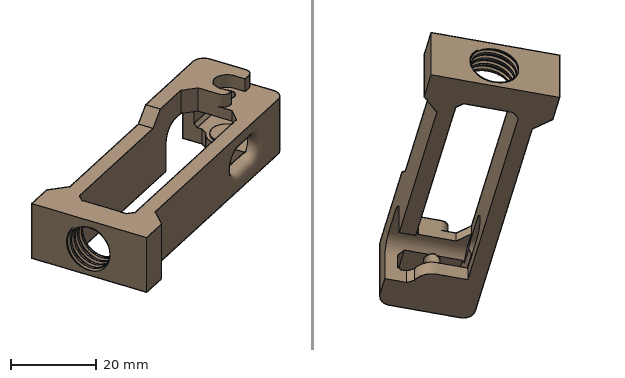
import cadquery as cq
import math

length = 72.25
foot_half_width = 15.5
foot_depth = 7.1
body_half_width = 11.5
foot_taper = foot_half_width - body_half_width
base_height = 15.0
total_height = 18.5
step_height = total_height - base_height
corner_radius = 2.95

ramp_top_y = 46.9
head_edge_x = 3.0
head_edge_radius = 2.0

pocket_half_width = 7.5
pocket_rear_y = 59.5
pocket_front_chamfer = 1.5
pocket_rear_chamfer = 2.95

pin_y = 65.25
pin_seat_radius = 3.25
pin_hole_radius = 1.95

arch_front_y = 49.6
arch_rear_y = 64.4
arch_height = 12.15
arch_radius = 4.5
boss_height = 4.1
boss_radius = 5.0
boss_front_y = pin_y - boss_radius
boss_corner_y = 63.3
boss_root_x = -6.2
pad_radius = 4.05
pad_height = 0.35

channel_half_width = 8.4
channel_top = 10.3
channel_top_chamfer = 1.4
channel_floor_chamfer = 0.9

window_rear_y = 60.25
window_length = 12.65
window_height = 6.8
window_edge_radius = 2.0

bore_z = base_height / 2
bore_radius = 5.55
thread_radius = 6.15
thread_pitch = 1.7
thread_mouth_half_width = 0.65
thread_root_half_width = 0.2
thread_start_angle = 120
thread_overlap = 0.15


def box(x0, x1, y0, y1, z0, z1):
    return cq.Workplane("XY").box(x1 - x0, y1 - y0, z1 - z0, centered=False).translate((x0, y0, z0))


def make_frame():
    outline = [
        (-foot_half_width, 0),
        (foot_half_width, 0),
        (foot_half_width, foot_depth),
        (body_half_width, foot_depth + foot_taper),
        (body_half_width, length),
        (-body_half_width, length),
        (-body_half_width, foot_depth + foot_taper),
        (-foot_half_width, foot_depth),
    ]
    block = cq.Workplane("XY").polyline(outline).close().extrude(total_height)
    block = block.edges("|Z and >Y").fillet(corner_radius)
    side = [
        (0, 0),
        (length, 0),
        (length, total_height),
        (ramp_top_y, total_height),
        (ramp_top_y - step_height, base_height),
        (0, base_height),
    ]
    profile = cq.Workplane("YZ").polyline(side).close().extrude(foot_half_width, both=True)
    return block.intersect(profile)


def make_pocket():
    pocket = box(-pocket_half_width, pocket_half_width, foot_depth, pocket_rear_y, 0, total_height)
    pocket = pocket.edges("|Z and <Y").chamfer(pocket_front_chamfer)
    return pocket.edges("|Z and >Y").chamfer(pocket_rear_chamfer)


def make_head_step():
    """Material above base height that is removed beside the head and around the pin."""
    beside = box(-body_half_width, body_half_width, 0, length, base_height, total_height)
    head = box(-body_half_width, head_edge_x, pocket_rear_y, length, base_height, total_height)
    head = head.edges("|Z and >X").fillet(head_edge_radius)
    left_rail = box(-body_half_width, -pocket_half_width + pocket_rear_chamfer, 0, pocket_rear_y,
                    base_height, total_height)
    seat = cq.Workplane("XY", origin=(0, pin_y, base_height)).circle(pin_seat_radius).extrude(step_height)
    seat_mouth = box(0, body_half_width, pin_y - pin_seat_radius, pin_y + pin_seat_radius,
                     base_height, total_height)
    return beside.cut(head).cut(left_rail).union(seat).union(seat_mouth)


def make_pin_hole():
    floor_z = boss_height + pad_height
    hole = cq.Workplane("XY", origin=(0, pin_y, floor_z)).circle(pin_hole_radius)
    return hole.extrude(base_height - floor_z)


def make_pad():
    """Low round pad on top of the boss, below the pin hole."""
    return cq.Workplane("XY", origin=(0, pin_y, boss_height)).circle(pad_radius).extrude(pad_height)


def make_arch():
    arch = box(-body_half_width, pocket_half_width, arch_front_y, arch_rear_y, 0, arch_height)
    arch = arch.edges("|X and >Z").fillet(arch_radius)
    corner_x = -math.sqrt(boss_radius**2 - (pin_y - boss_corner_y) ** 2)
    middle = boss_radius * math.sqrt(0.5)
    boss = (
        cq.Workplane("XY")
        .moveTo(boss_root_x, arch_rear_y)
        .lineTo(corner_x, boss_corner_y)
        .threePointArc((-middle, pin_y - middle), (0, boss_front_y))
        .lineTo(pocket_half_width, boss_front_y)
        .lineTo(pocket_half_width, arch_rear_y)
        .close()
        .extrude(boss_height)
    )
    return arch.cut(boss)


def make_channel():
    channel = box(-channel_half_width, channel_half_width, window_rear_y - window_height / 2, length,
                  boss_height, channel_top)
    channel = channel.edges("|Y and >Z").chamfer(channel_top_chamfer)
    channel = channel.edges("|Y and <Z").chamfer(channel_floor_chamfer)
    return channel


def make_window():
    centre_y = window_rear_y - window_length / 2
    return (
        cq.Workplane("YZ", origin=(0, centre_y, bore_z))
        .slot2D(window_length, window_height)
        .extrude(body_half_width)
    )


def make_thread():
    """Bore along Y with a helical groove that runs out of both ends."""
    bore = cq.Solid.makeCylinder(bore_radius, foot_depth, cq.Vector(0, 0, 0), cq.Vector(0, 0, 1))
    inner = bore_radius - thread_overlap
    helix = cq.Wire.makeHelix(thread_pitch, foot_depth + 2 * thread_pitch, inner)
    groove = (
        cq.Workplane("XZ")
        .polyline([
            (inner, -thread_mouth_half_width),
            (thread_radius, -thread_root_half_width),
            (thread_radius, thread_root_half_width),
            (inner, thread_mouth_half_width),
        ])
        .close()
        .sweep(cq.Workplane(helix), isFrenet=True)
        .translate((0, 0, -thread_pitch))
    )
    limit = cq.Workplane("XY").circle(foot_half_width).extrude(foot_depth)
    thread = groove.intersect(limit).union(cq.Workplane(bore))
    thread = thread.rotate((0, 0, 0), (0, 0, 1), thread_start_angle)
    return thread.rotate((0, 0, 0), (1, 0, 0), -90).translate((0, 0, bore_z))


result = make_frame()
cutters = [make_pocket(), make_head_step(), make_arch(), make_channel(), make_pin_hole(), make_window()]
for cutter in cutters:
    result = result.cut(cutter)
result = result.union(make_pad())

rim_margin = 0.1
window_rim = cq.selectors.BoxSelector(
    (body_half_width - rim_margin, window_rear_y - window_length - rim_margin, rim_margin),
    (body_half_width + rim_margin, window_rear_y + rim_margin, base_height - rim_margin),
)
result = result.edges(window_rim).fillet(window_edge_radius)
result = result.cut(make_thread())